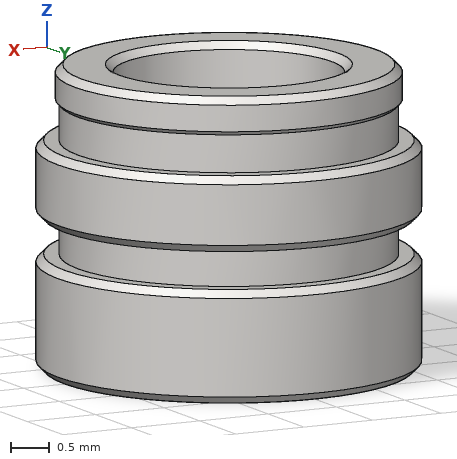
import cadquery as cq

flange_diameter = 5
neck_diameter = 4.4
head_diameter = 4.5
bore_diameter = 3

base_height = 1.5
groove_height = 0.5
collar_height = 1
neck_height = 0.5
head_height = 0.5

chamfer = 0.1
head_lower_chamfer = (head_diameter - neck_diameter) / 2

groove_bottom = base_height
collar_bottom = groove_bottom + groove_height
neck_bottom = collar_bottom + collar_height
head_bottom = neck_bottom + neck_height
total_height = head_bottom + head_height


def cylinder(diameter, height, bottom):
    return cq.Workplane("XY").workplane(offset=bottom).circle(diameter / 2).extrude(height)


core = cylinder(neck_diameter, head_bottom, 0)
base = cylinder(flange_diameter, base_height, 0).edges().chamfer(chamfer)
collar = cylinder(flange_diameter, collar_height, collar_bottom).edges().chamfer(chamfer)
head = cylinder(head_diameter, head_height, head_bottom)
head = head.edges(">Z").chamfer(chamfer).edges("<Z").chamfer(head_lower_chamfer)
body = core.union(base).union(collar).union(head)

bore = cylinder(bore_diameter, total_height, 0)
result = body.cut(bore)
bore_mouths = cq.selectors.RadiusNthSelector(0)
result = result.faces("<Z or >Z").edges(bore_mouths).chamfer(chamfer)